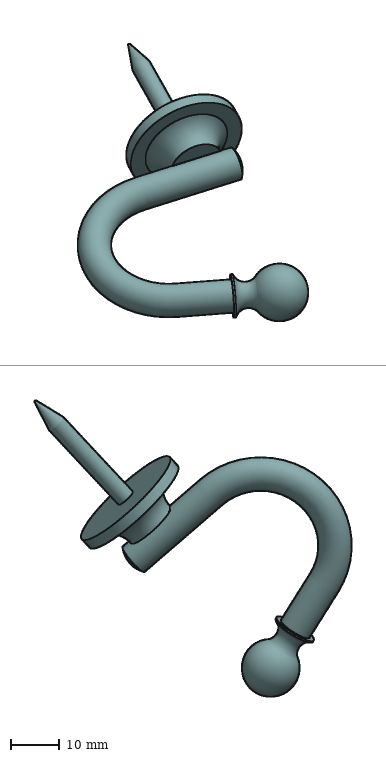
import cadquery as cq
import math

pin_radius = 2.0
pin_length = 28.1
point_length = 6.5
tip_radius = 0.25
plate_radius = 12.51
plate_thickness = 2.5
flare_base_radius = 9.2
neck_radius = 5.6
flare_end = 7.4
boss_end = 7.8

rod_radius = 3.5
rod_x = flare_end + rod_radius
rod_top = 7.6
dome_height = 1.1
bend_start_y = -14.0
bend_radius = 15.4
arm_tilt = 17.0

arm_length = 11.65
collar_radius = 4.6
collar_thickness = 0.4
collar_bevel = 0.7
throat_base_radius = 3.5
throat_radius = 2.8
throat_position = 14.8
ball_radius = 6.0
ball_position = 21.5


def make_tack_and_rosette():
    flare_length = flare_end - plate_thickness
    flare_rise = flare_base_radius - neck_radius
    flare_radius = (flare_length**2 + flare_rise**2) / (2 * flare_rise)
    half_angle = math.asin(flare_length / flare_radius) / 2
    flare_middle = (
        flare_end - flare_radius * math.sin(half_angle),
        neck_radius + flare_radius * (1 - math.cos(half_angle)),
    )
    profile = (
        cq.Workplane("XY")
        .moveTo(-pin_length, 0)
        .lineTo(-pin_length, tip_radius)
        .lineTo(point_length - pin_length, pin_radius)
        .lineTo(0, pin_radius)
        .lineTo(0, plate_radius)
        .lineTo(plate_thickness, plate_radius)
        .lineTo(plate_thickness, flare_base_radius)
        .threePointArc(flare_middle, (flare_end, neck_radius))
        .lineTo(boss_end, neck_radius)
        .lineTo(boss_end, 0)
        .close()
    )
    return profile.revolve(360, (0, 0, 0), (1, 0, 0))


def make_shank():
    dome_radius = (rod_radius**2 + dome_height**2) / (2 * dome_height)
    half_angle = math.asin(rod_radius / dome_radius) / 2
    dome_top = rod_top + dome_height
    dome_middle = (
        dome_radius * math.sin(half_angle),
        dome_top - dome_radius * (1 - math.cos(half_angle)),
    )
    profile = (
        cq.Workplane("XY")
        .moveTo(0, bend_start_y)
        .lineTo(rod_radius, bend_start_y)
        .lineTo(rod_radius, rod_top)
        .threePointArc(dome_middle, (0, dome_top))
        .close()
    )
    return profile.revolve(360, (0, 0, 0), (0, 1, 0)).translate((rod_x, 0, 0))


def make_bend():
    return (
        cq.Workplane("XZ", origin=(rod_x, bend_start_y, 0))
        .circle(rod_radius)
        .revolve(180 - arm_tilt, (bend_radius, 0, 0), (bend_radius, 1, 0))
    )


def make_arm_and_finial():
    collar_top = arm_length + collar_thickness
    throat_base = collar_top + collar_bevel
    ball_contact = ball_position - math.sqrt(ball_radius**2 - throat_base_radius**2)
    profile = (
        cq.Workplane("XY")
        .lineTo(rod_radius, 0)
        .lineTo(rod_radius, arm_length)
        .lineTo(collar_radius, arm_length)
        .lineTo(collar_radius, collar_top)
        .lineTo(throat_base_radius, throat_base)
        .threePointArc((throat_radius, throat_position), (throat_base_radius, ball_contact))
        .threePointArc((ball_radius, ball_position), (0, ball_position + ball_radius))
        .close()
    )
    tilt = math.radians(arm_tilt)
    bend_end = (
        rod_x + bend_radius * (1 + math.cos(tilt)),
        bend_start_y - bend_radius * math.sin(tilt),
        0,
    )
    return (
        profile.revolve(360, (0, 0, 0), (0, 1, 0))
        .rotate((0, 0, 0), (0, 0, 1), -arm_tilt)
        .translate(bend_end)
    )


result = (
    make_tack_and_rosette()
    .union(make_shank())
    .union(make_bend())
    .union(make_arm_and_finial())
)